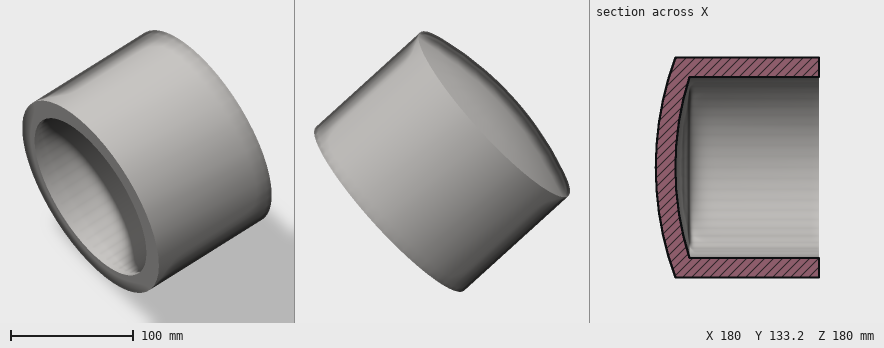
import cadquery as cq
import math

outer_diameter = 180.0
wall = 16.4
total_length = 133.2
dome_height = 16.2

outer_radius = outer_diameter / 2
bore_radius = outer_radius - wall
skirt_length = total_length - dome_height

dome_radius = (outer_radius**2 + dome_height**2) / (2 * dome_height)
dome_center_y = total_length - dome_radius
inner_dome_radius = dome_radius - wall


def point_on_sphere(sphere_radius, x):
    """Point of a dome profile at distance x from the axis."""
    return (x, dome_center_y + math.sqrt(sphere_radius**2 - x**2))


half_section = (
    cq.Workplane("XY")
    .moveTo(bore_radius, 0)
    .lineTo(outer_radius, 0)
    .lineTo(outer_radius, skirt_length)
    .threePointArc(point_on_sphere(dome_radius, outer_radius / 2), (0, total_length))
    .lineTo(0, total_length - wall)
    .threePointArc(
        point_on_sphere(inner_dome_radius, bore_radius / 2),
        point_on_sphere(inner_dome_radius, bore_radius),
    )
    .close()
)

result = half_section.revolve(360, (0, 0, 0), (0, 1, 0))